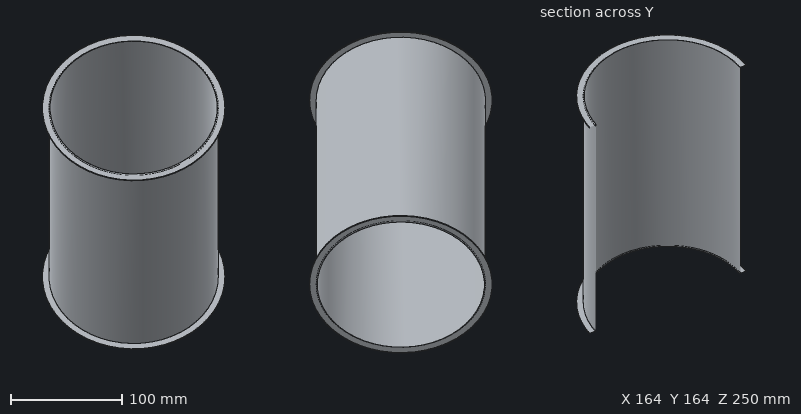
import cadquery as cq

length = 250.0
bore_diameter = 150.0
tube_diameter = 152.0
flange_diameter = 164.0
flange_thickness = 1.0


def disc(diameter, height, base_z):
    """Solid cylinder on the Z axis, rising from base_z."""
    return cq.Workplane("XY").workplane(offset=base_z).circle(diameter / 2).extrude(height)


body = disc(tube_diameter, length, 0)
for flange_base in (0, length - flange_thickness):
    body = body.union(disc(flange_diameter, flange_thickness, flange_base))

result = body.cut(disc(bore_diameter, length, 0))